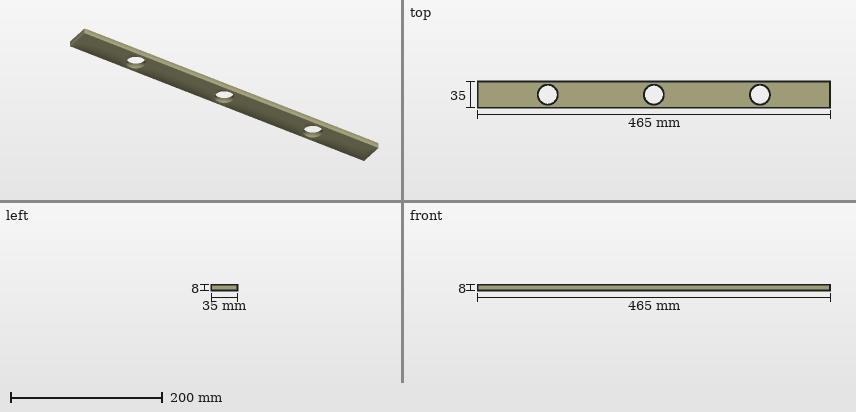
import cadquery as cq

bar_length = 465.0
bar_width = 35.0
bar_thickness = 8.0

hole_count = 3
hole_pitch = 140.0
hole_diameter = 26.0


def make_bar():
    """Plain rectangular bar centred on the origin."""
    return cq.Workplane("XY").box(bar_length, bar_width, bar_thickness)


def drill_holes(bar):
    """Evenly spaced through holes, centred on the bar."""
    return (
        bar.faces(">Z")
        .workplane()
        .rarray(hole_pitch, bar_width, hole_count, 1)
        .hole(hole_diameter)
    )


result = drill_holes(make_bar())